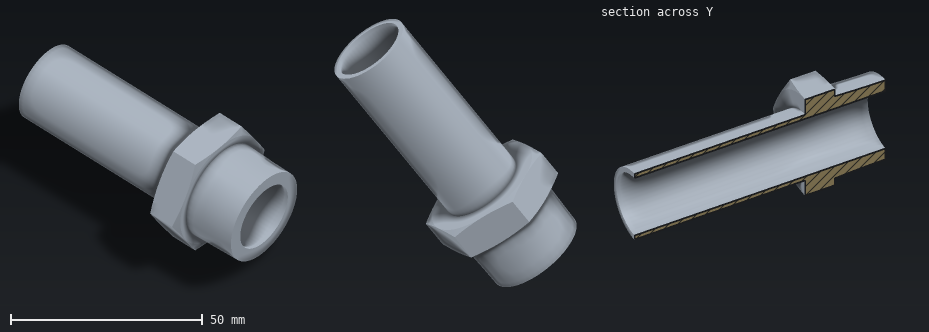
import cadquery as cq
import math

total_length = 75.0
hex_start = 51.0
hex_width = 9.0
hex_end = hex_start + hex_width

tube_diameter = 22.0
bore_diameter = 19.0
thread_root_diameter = 27.45
thread_end_diameter = 26.5

across_flats = 32.0
across_corners = across_flats / math.cos(math.radians(30))
chamfer_depth = 0.75


def revolve_about_x(profile):
    """Revolve a closed (x, radius) profile around the X axis."""
    return cq.Workplane("XY").polyline(profile).close().revolve(360, (0, 0, 0), (1, 0, 0))


def make_tube():
    return cq.Workplane("YZ").circle(tube_diameter / 2).extrude(hex_end)


def make_hexagon():
    """Hexagon with its corners turned down by a cone on both faces."""
    prism = cq.Workplane("YZ", origin=(hex_start, 0, 0)).polygon(6, across_corners).extrude(hex_width)
    chamfer_envelope = revolve_about_x([
        (hex_start, 0),
        (hex_start, across_flats / 2),
        (hex_start + chamfer_depth, across_corners / 2),
        (hex_end - chamfer_depth, across_corners / 2),
        (hex_end, across_flats / 2),
        (hex_end, 0),
    ])
    return prism.intersect(chamfer_envelope)


def make_taper():
    """Tapered male end, narrowing towards +X."""
    return revolve_about_x([
        (hex_end, 0),
        (hex_end, thread_root_diameter / 2),
        (total_length, thread_end_diameter / 2),
        (total_length, 0),
    ])


bore = cq.Workplane("YZ").circle(bore_diameter / 2).extrude(total_length)
result = make_tube().union(make_hexagon()).union(make_taper()).cut(bore)